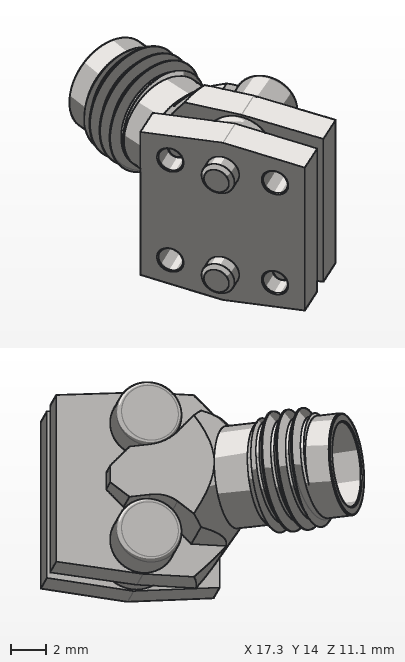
import cadquery as cq
import math

half_width = 5.0
plate_thickness = 2.0
flange_thickness = 2.0
gap = 1.0
plate_peak_half_height = 5.5
flange_peak_half_height = 5.45
edge_half_height = half_width
plate_rear_y = -gap
plate_front_y = plate_rear_y - plate_thickness

screw_z = 3.5
screw_radius = 1.0
screw_protrusion = gap
screw_tip_chamfer = 0.25
head_radius = 1.89
head_length = 2.28
head_fillet = 0.25
ring_tube_radius = gap / 2
ring_outer_diameter = 4.1
ring_mid_radius = ring_outer_diameter / 2 - ring_tube_radius

pin_x = 3.19
pin_radius = 0.6
pin_length = 2.0
pin_tip_chamfer = 0.15
pin_hole_radius = 0.75
pin_hole_chamfer = 0.07

screw_centers = [(0, screw_z), (0, -screw_z)]
pin_centers = [(-pin_x, screw_z), (pin_x, -screw_z)]
pin_hole_centers = [(x, z) for x in (-pin_x, pin_x) for z in (-screw_z, screw_z)]

barrel_angle = math.radians(30)
barrel_axis_y = 1.16
barrel_end = 12.55
barrel_start = 5.55
barrel_radius = 2.95
end_chamfer = 0.07
bore_radius = 2.42
bore_depth = 3.01

thread_radius = 3.48
thread_near = 1.47
thread_far = 4.99
thread_pitch = 0.9
thread_crest_width = 0.09
thread_flank_angle = math.radians(30)
thread_start = 5.71
thread_turns = 6
thread_root_radius = 2.9
thread_margin = 0.17

flare_length = 10.39
neck_half_height = screw_z
neck_end_x = 2.11
neck_end_chamfer = 1.0
neck_slope_angle = math.radians(45)
head_clearance_radius = 1.99

reach = 13.85

axis_direction = cq.Vector(-math.cos(barrel_angle), math.sin(barrel_angle), 0)
across_direction = cq.Vector(math.sin(barrel_angle), math.cos(barrel_angle), 0)


def barrel_plane(distance):
    """Plane square to the barrel axis, at a distance along it from X = 0."""
    origin = cq.Vector(0, barrel_axis_y, 0) + axis_direction * distance
    return cq.Plane(origin=origin, xDir=across_direction, normal=axis_direction)


def rear_facing_plane(y, x=0):
    """Plane at Y = y facing +Y, its local X along world X and its local Y along world -Z."""
    return cq.Plane(origin=(x, y, 0), xDir=(1, 0, 0), normal=(0, 1, 0))


def cylinders(y, length, radius, centers):
    """Cylinders along +Y starting at Y = y, one at each (x, z) center."""
    points = [(x, -z) for x, z in centers]
    return cq.Workplane(rear_facing_plane(y)).pushPoints(points).circle(radius).extrude(length)


def make_flare():
    """45 degree cone widening from the barrel, cut flat along the barrel's rear side line."""
    start_plane = barrel_plane(barrel_start)
    wide_radius = barrel_radius + flare_length
    cone = cq.Solid.makeCone(
        barrel_radius, wide_radius, flare_length, start_plane.origin, axis_direction * -1
    )
    flat_side = (
        cq.Workplane(start_plane)
        .center(barrel_radius - wide_radius, 0)
        .rect(2 * wide_radius, 2 * wide_radius)
        .extrude(-flare_length)
    )
    return flat_side.intersect(cq.Workplane(cone))


def make_flange(flare):
    """Flange whose left half follows the flare and whose right half tapers to a flat end."""
    left_half = (
        cq.Workplane(rear_facing_plane(0))
        .center(-reach / 2, 0)
        .rect(reach, 2 * flange_peak_half_height)
        .extrude(flange_thickness)
        .intersect(flare)
    )
    right_half = (
        cq.Workplane(rear_facing_plane(0))
        .moveTo(0, flange_peak_half_height)
        .lineTo(half_width, edge_half_height)
        .lineTo(half_width, -edge_half_height)
        .lineTo(0, -flange_peak_half_height)
        .close()
        .extrude(flange_thickness)
    )
    return left_half.union(right_half)


def make_neck(flare):
    """Neck behind the flange, narrowed by 45 degree slopes and arcs around the screw heads."""
    tangent_offset = head_clearance_radius * math.sin(neck_slope_angle)
    tangent_z = screw_z - head_clearance_radius * math.cos(neck_slope_angle)
    slope_run = (neck_half_height - tangent_z) / math.tan(neck_slope_angle)
    slope_top_x = -tangent_offset - slope_run
    arc_mid_x = -head_clearance_radius * math.sin(neck_slope_angle / 2)
    arc_mid_z = screw_z - head_clearance_radius * math.cos(neck_slope_angle / 2)
    web_half_height = screw_z - head_clearance_radius
    end_half_height = web_half_height - neck_end_chamfer
    upper_half = (
        cq.Workplane(rear_facing_plane(flange_thickness))
        .moveTo(-reach, 0)
        .lineTo(-reach, neck_half_height)
        .lineTo(slope_top_x, neck_half_height)
        .lineTo(-tangent_offset, tangent_z)
        .threePointArc((arc_mid_x, arc_mid_z), (0, web_half_height))
        .lineTo(neck_end_x - neck_end_chamfer, web_half_height)
        .lineTo(neck_end_x, end_half_height)
        .lineTo(neck_end_x, 0)
        .close()
        .extrude(reach)
    )
    outline = upper_half.union(upper_half.mirror("XY"))
    return outline.intersect(flare)


def make_thread():
    """Right-handed helical ridge, trimmed by 45 degree cones at both ends."""
    flank_slope = math.tan(thread_flank_angle)
    half_crest = thread_crest_width / 2
    half_base = half_crest + flank_slope * (thread_radius - thread_root_radius)
    helix = cq.Wire.makeHelix(thread_pitch, thread_turns * thread_pitch, barrel_radius)
    ridge = (
        cq.Workplane("XZ")
        .moveTo(thread_root_radius, -half_base)
        .lineTo(thread_radius, -half_crest)
        .lineTo(thread_radius, half_crest)
        .lineTo(thread_root_radius, half_base)
        .close()
        .sweep(cq.Workplane(helix), isFrenet=True)
        .translate((0, 0, -thread_start))
    )
    envelope_radius = thread_radius + thread_margin
    envelope = (
        cq.Workplane("XY")
        .workplane(offset=-thread_far - thread_margin)
        .circle(envelope_radius)
        .extrude(thread_far - thread_near + 2 * thread_margin)
        .faces("<Z or >Z")
        .chamfer(envelope_radius - barrel_radius + thread_margin)
    )
    thread = ridge.intersect(envelope)
    return cq.Workplane(thread.val().moved(cq.Location(barrel_plane(barrel_end))))


def make_barrel():
    """Threaded barrel with a blind bore in its end and chamfers on both rims of the bore wall."""
    length = barrel_end - barrel_start
    tube = cq.Workplane(barrel_plane(barrel_start)).circle(barrel_radius).extrude(length)
    bore = cq.Workplane(barrel_plane(barrel_end)).circle(bore_radius).extrude(-bore_depth)
    end_face = cq.selectors.DirectionMinMaxSelector(axis_direction)
    tube = tube.cut(bore).faces(end_face).chamfer(end_chamfer)
    return tube.union(make_thread())


def make_guide_pins():
    """Two pins at opposite corners of the flange front face, with chamfered tips."""
    pins = cylinders(0, -pin_length, pin_radius, pin_centers)
    return pins.faces("<Y").chamfer(pin_tip_chamfer)


def make_housing():
    flare = make_flare()
    screw_holes = cylinders(0, flange_thickness, screw_radius, screw_centers)
    body = make_flange(flare).union(make_neck(flare)).union(make_barrel())
    return body.cut(screw_holes).union(make_guide_pins())


def make_plate():
    """Clamp plate with a peaked top and bottom, two screw holes and four pin holes."""
    plate = (
        cq.Workplane(rear_facing_plane(plate_front_y))
        .moveTo(-half_width, edge_half_height)
        .lineTo(0, plate_peak_half_height)
        .lineTo(half_width, edge_half_height)
        .lineTo(half_width, -edge_half_height)
        .lineTo(0, -plate_peak_half_height)
        .lineTo(-half_width, -edge_half_height)
        .close()
        .extrude(plate_thickness)
    )
    pin_holes = cylinders(plate_front_y, plate_thickness, pin_hole_radius, pin_hole_centers)
    screw_holes = cylinders(plate_front_y, plate_thickness, screw_radius, screw_centers)
    plate = plate.cut(pin_holes)
    plate = plate.faces("<Y").edges("%CIRCLE").chamfer(pin_hole_chamfer)
    return plate.cut(screw_holes)


def make_screw(x, z):
    """Screw with a rounded cylindrical head behind the flange and a chamfered tip."""
    tip_y = plate_front_y - screw_protrusion
    shank = cylinders(tip_y, flange_thickness - tip_y, screw_radius, [(x, z)])
    shank = shank.faces("<Y").chamfer(screw_tip_chamfer)
    head = cylinders(flange_thickness, head_length, head_radius, [(x, z)])
    head = head.faces(">Y").edges().fillet(head_fillet)
    return shank.union(head)


def make_o_ring(x, z):
    """Ring around a screw that fills the gap between plate and flange."""
    center = cq.Vector(x, -gap / 2, z)
    return cq.Solid.makeTorus(ring_mid_radius, ring_tube_radius, center, cq.Vector(0, 1, 0))


housing = make_housing()
plate = make_plate()
screws = [make_screw(x, z).val() for x, z in screw_centers]
o_rings = [make_o_ring(x, z) for x, z in screw_centers]

result = cq.Compound.makeCompound([housing.solids().val(), plate.solids().val(), *screws, *o_rings])